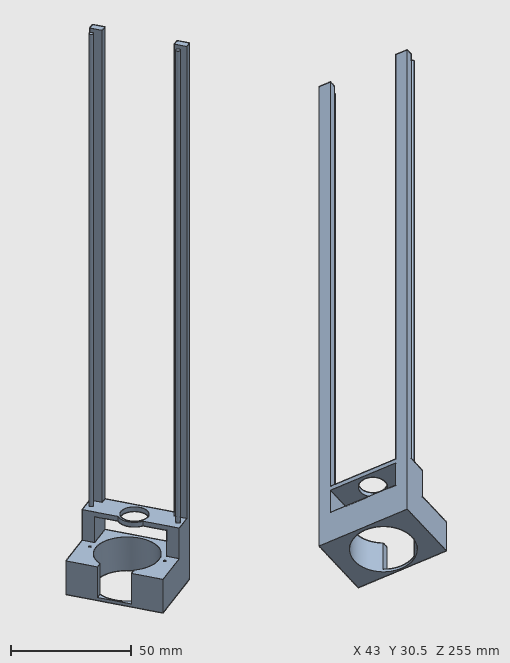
import cadquery as cq

width = 43.0
depth = 30.5
height = 255.0

base_height = 16.0
bore_diameter = 28.0
bore_y = -15.8
front_opening_width = 15.0
sill_height = 1.5
pin_hole_diameter = 1.0
pin_hole_depth = 2.5
pin_hole_spacing = 33.2

bridge_top = 30.5
bridge_depth = 12.0
leg_width = 5.5
plate_thickness = 2.3
ring_hole_diameter = 12.0
ring_outer_diameter = 14.0
ring_y = -7.6

rail_depth = 3.3
rod_diameter = 2.0
rod_y = -7.5
rod_edge_distance = 2.3


def block(x_size, y_size, z_size, x_center, z_bottom):
    """Box whose back face lies on Y = 0."""
    return (
        cq.Workplane("XY")
        .box(x_size, y_size, z_size, centered=(True, False, False))
        .translate((x_center, -y_size, z_bottom))
    )


def cylinder(diameter, length, x, y, z_bottom):
    return (
        cq.Workplane("XY", origin=(x, y, z_bottom))
        .circle(diameter / 2)
        .extrude(length)
    )


def make_base():
    base = block(width, depth, base_height, 0, 0)
    base = base.cut(cylinder(bore_diameter, base_height, 0, bore_y, 0))
    opening_length = depth + bore_y
    opening = (
        cq.Workplane("XY", origin=(0, -depth, sill_height))
        .box(front_opening_width, opening_length, base_height, centered=(True, False, False))
    )
    base = base.cut(opening)
    for side in (-1, 1):
        x = side * pin_hole_spacing / 2
        base = base.cut(cylinder(pin_hole_diameter, pin_hole_depth, x, bore_y, base_height - pin_hole_depth))
    return base


def make_plate():
    plate_bottom = bridge_top - plate_thickness
    plate = block(width, bridge_depth, plate_thickness, 0, plate_bottom)
    plate = plate.union(cylinder(ring_outer_diameter, plate_thickness, 0, ring_y, plate_bottom))
    return plate.cut(cylinder(ring_hole_diameter, plate_thickness, 0, ring_y, plate_bottom))


def make_side(side):
    """Leg, rail and rod on one side (-1 = left, 1 = right)."""
    leg_x = side * (width - leg_width) / 2
    rod_x = side * (width / 2 - rod_edge_distance)
    upright_height = height - bridge_top
    leg = block(leg_width, bridge_depth, bridge_top - base_height, leg_x, base_height)
    rail = block(leg_width, rail_depth, upright_height, leg_x, bridge_top)
    rod = cylinder(rod_diameter, upright_height, rod_x, rod_y, bridge_top)
    return leg.union(rail).union(rod)


result = make_base().union(make_plate())
for side in (-1, 1):
    result = result.union(make_side(side))